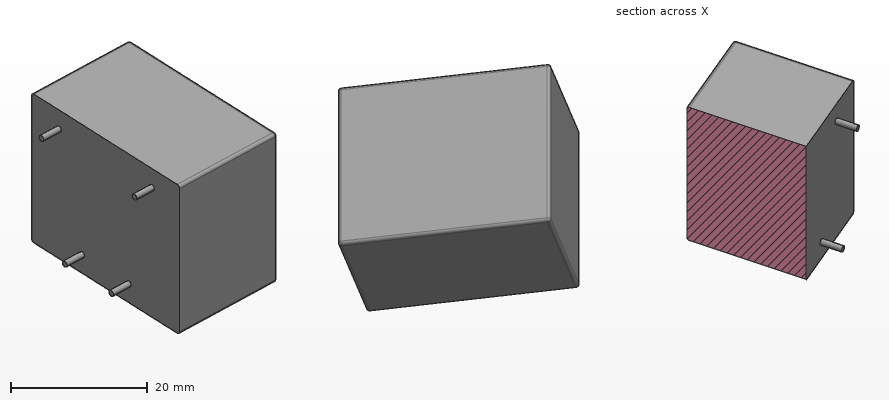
import cadquery as cq

BODY_WIDTH = 31.8
BODY_DEPTH = 19.5
BODY_HEIGHT = 26.8
EDGE_RADIUS = 0.5

OVERALL_DEPTH = 23.01
PIN_LENGTH = OVERALL_DEPTH - BODY_DEPTH
PIN_DIAMETER = 1.0
UPPER_PIN_SPACING = 20.0
LOWER_PIN_SPACING = 10.0
PIN_ROW_SPACING = 20.0


def make_body():
    """Block rounded on every edge except those around the pin face."""
    block = cq.Workplane("XY").box(
        BODY_WIDTH, BODY_DEPTH, BODY_HEIGHT, centered=(True, False, True)
    )
    return block.edges("|Y or >Y").fillet(EDGE_RADIUS)


def make_pin_row(spacing, z):
    """Pair of round pins, placed evenly about X = 0 at height z."""
    return (
        cq.Workplane("XZ")
        .pushPoints([(-spacing / 2, z), (spacing / 2, z)])
        .circle(PIN_DIAMETER / 2)
        .extrude(PIN_LENGTH)
    )


upper_pins = make_pin_row(UPPER_PIN_SPACING, PIN_ROW_SPACING / 2)
lower_pins = make_pin_row(LOWER_PIN_SPACING, -PIN_ROW_SPACING / 2)

result = make_body().union(upper_pins).union(lower_pins)